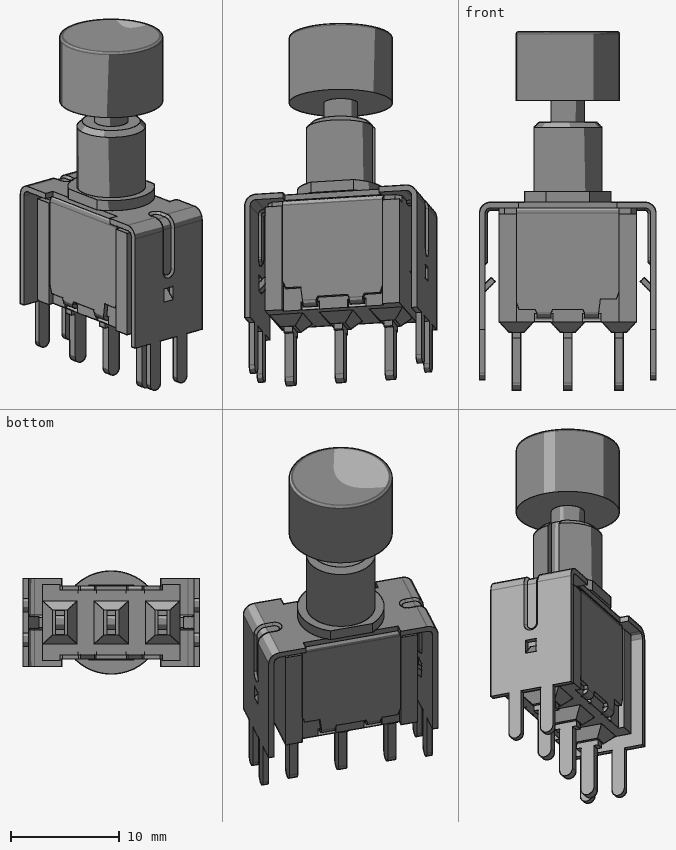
import cadquery as cq
import math


overall_height = 32.98
cap_height = 6.33
bushing_top = 24.67
flange_top = 18.3
bracket_top = 17.3
block_top = 16.2
base_bottom = 6.3
seal_bottom = 5.35
terminal_shoulder = 4.8
cap_bottom = overall_height - cap_height

cap_diameter = 9.5
cap_edge_radius = 0.2
dish_diameter = 8.9
dish_depth = 0.75

stem_diameter = 3.1
bushing_diameter = 6.33
bushing_chamfer = 0.5
keyway_width = 1.1
keyway_floor_diameter = 5.0
flange_diameter = 7.98
flange_across_flats = 6.9

bracket_length = 16.25
bracket_width = 8.1
sheet = 0.53
bend_radius = 1.05
leg_bottom = 5.6
waist_length = 9.07
waist_width = 6.35
leg_pin_spacing = 3.2
leg_pin_width = 1.25
leg_pin_tip = 0.95

bead_depth = 0.23
bead_mouth_radius = 0.7
bead_floor_radius = 0.45
bead_leg_end = 12.25
bead_top_end = 6.35

window_width = 1.1
window_bottom = 9.07
window_top = 10.6
tongue_rise_start = 9.3
tongue_reach = 1.1

base_length = 12.65
block_face = 3.5
frame_face = 3.35
frame_sheet = 0.4
frame_length = 9.45
frame_edge_radius = 0.5
plate_corner = 0.53
base_face = frame_face - frame_sheet

frame_bottom = 7.42
tab_bend_start = 7.12
tab_bottom = 6.65
tab_width = 1.3
tab_spacing = 4.4
tab_taper = 0.15
frame_corner_run = 0.25
frame_corner_rise = 0.7
raised_corner_bottom = 8.4
notch_width = 1.7
notch_top = 7.05
notch_depth = 0.35

terminal_pitch = 4.7
terminal_thickness = 0.8
terminal_width = 1.32
terminal_shoulder_width = 2.18
seal_top_length = 3.15
seal_bottom_length = 1.4
seal_bottom_width = 2.3
seal_top_width = 3.95

half_length = bracket_length / 2
leg_inner = half_length - sheet
bracket_under = bracket_top - sheet
bend_center_x = half_length - bend_radius
bend_center_z = bracket_top - bend_radius


def box(length, width, bottom, top):
    """Box centred on the Z axis between two heights."""
    block = cq.Workplane("XY").workplane(offset=bottom).rect(length, width)
    return block.extrude(top - bottom)


def disc(diameter, bottom, top):
    """Cylinder on the Z axis between two heights."""
    return cq.Workplane("XY").workplane(offset=bottom).circle(diameter / 2).extrude(top - bottom)


def both_ends(feature):
    """The feature together with its mirror image at the other end in X."""
    return feature.union(feature.mirror("YZ"))


def make_cap():
    cap = disc(cap_diameter, cap_bottom, overall_height).faces(">Z").edges().fillet(cap_edge_radius)
    ball_radius = ((dish_diameter / 2) ** 2 + dish_depth ** 2) / (2 * dish_depth)
    ball_center = overall_height - dish_depth + ball_radius
    ball = cq.Workplane("XY").sphere(ball_radius).translate((0, 0, ball_center))
    return cap.cut(ball)


def make_bushing():
    """Stem, bushing with its keyway, and the flange with two flats."""
    bushing = disc(bushing_diameter, flange_top, bushing_top).faces(">Z").edges().chamfer(bushing_chamfer)
    keyway = (
        box(bushing_diameter, keyway_width, flange_top, bushing_top)
        .translate((-bushing_diameter / 2, 0, 0))
        .cut(disc(keyway_floor_diameter, flange_top, bushing_top))
    )
    flange = disc(flange_diameter, bracket_top, flange_top).intersect(
        box(flange_diameter, flange_across_flats, bracket_top, flange_top)
    )
    stem = disc(stem_diameter, bushing_top, cap_bottom)
    return bushing.cut(keyway).union(flange).union(stem)


def round_tipped_blade(thickness, width, tip, top):
    """Upright blade, thin in X, with a full round at its lower end."""
    radius = width / 2
    return (
        cq.Workplane("YZ")
        .moveTo(-radius, top)
        .lineTo(-radius, tip + radius)
        .threePointArc((0, tip), (radius, tip + radius))
        .lineTo(radius, top)
        .close()
        .extrude(thickness / 2, both=True)
    )


def make_bead(surface):
    """Tapered bead at the -X bend, pressed inward from a surface this deep inside the sheet."""
    taper = math.degrees(math.atan((bead_mouth_radius - bead_floor_radius) / bead_depth))
    mouth_x = surface - half_length
    mouth_z = bracket_top - surface
    leg_run = bend_center_z - bead_leg_end
    top_run = bend_center_x - bead_top_end

    def slot(plane, run):
        """Tapered slot whose inner half runs from the bend line to the bead's round end."""
        length = 2 * (run + bead_mouth_radius)
        return cq.Workplane(plane).slot2D(length, 2 * bead_mouth_radius).extrude(bead_depth, taper=taper)

    leg_plane = cq.Plane((mouth_x, 0, bend_center_z), xDir=(0, 0, -1), normal=(1, 0, 0))
    top_plane = cq.Plane((-bend_center_x, 0, mouth_z), xDir=(1, 0, 0), normal=(0, 0, -1))
    below_bend = box(bracket_length, bracket_width, 0, bend_center_z).translate((-half_length, 0, 0))
    inside_bend = box(2 * bend_center_x, bracket_width, 0, bracket_top)
    leg_part = slot(leg_plane, leg_run).intersect(below_bend)
    top_part = slot(top_plane, top_run).intersect(inside_bend)

    mouth_reach = bend_radius - surface
    floor_reach = mouth_reach - bead_depth
    bend_part = (
        cq.Workplane("XY", origin=(-bend_center_x, 0, bend_center_z))
        .polyline([
            (-mouth_reach, -bead_mouth_radius),
            (-mouth_reach, bead_mouth_radius),
            (-floor_reach, bead_floor_radius),
            (-floor_reach, -bead_floor_radius),
        ])
        .close()
        .revolve(90, (0, 0, 0), (0, 1, 0))
    )
    return leg_part.union(bend_part).union(top_part)


def make_tongue():
    """Latch tongue at the -X leg, rising inward at 45 degrees from the window sill."""
    tip_x = -half_length + tongue_reach
    tip_z = tongue_rise_start + tongue_reach
    inner_drop = (tip_z - tip_x - (window_bottom + leg_inner)) / 2
    return (
        cq.Workplane("XZ")
        .polyline([
            (-half_length, window_bottom),
            (-half_length, tongue_rise_start),
            (tip_x, tip_z),
            (tip_x + inner_drop, tip_z - inner_drop),
            (-leg_inner, window_bottom),
        ])
        .close()
        .extrude(window_width / 2, both=True)
    )


def make_bracket():
    outer = box(bracket_length, bracket_width, leg_bottom, bracket_top)
    outer = outer.edges("|Y and >Z").fillet(bend_radius)
    inner = box(2 * leg_inner, bracket_width, leg_bottom, bracket_under)
    inner = inner.edges("|Y and >Z").fillet(bend_radius - sheet)
    bracket = outer.cut(inner)

    waist = box(waist_length, bracket_width, bracket_under, bracket_top).cut(
        box(waist_length, waist_width, bracket_under, bracket_top)
    )
    window = box(bracket_length, window_width, window_bottom, window_top)
    bracket = bracket.cut(waist).cut(window)

    bracket = bracket.union(both_ends(make_bead(sheet)))
    bracket = bracket.cut(both_ends(make_bead(0)))
    bracket = bracket.union(both_ends(make_tongue()))
    leg_pin = round_tipped_blade(sheet, leg_pin_width, leg_pin_tip, leg_bottom)
    for x in (-half_length + sheet / 2, half_length - sheet / 2):
        for y in (-leg_pin_spacing / 2, leg_pin_spacing / 2):
            bracket = bracket.union(leg_pin.translate((x, y, 0)))
    return bracket


def make_base():
    """Base with a raised block at each end and hollow-floored notches for the clamping tabs."""
    base = box(base_length, 2 * block_face, base_bottom, block_top)
    middle = box(frame_length, 2 * block_face, base_bottom, block_top).cut(
        box(frame_length, 2 * base_face, base_bottom, block_top)
    )
    base = base.cut(middle)
    notch = (
        cq.Workplane("YZ", origin=(-notch_width / 2, 0, 0))
        .moveTo(-base_face, notch_top)
        .lineTo(-base_face + notch_depth, notch_top)
        .lineTo(-base_face + notch_depth, base_bottom + notch_depth)
        .radiusArc((-base_face, base_bottom), notch_depth)
        .close()
        .extrude(notch_width)
    )
    notch = notch.union(notch.mirror("XZ"))
    for x in (-tab_spacing / 2, tab_spacing / 2):
        base = base.cut(notch.translate((x, 0, 0)))
    return base


def make_frame_side():
    """Front (-Y) sheet of the frame, with its cut-away lower outline."""
    half = frame_length / 2
    tab_inner = (tab_spacing - tab_width) / 2
    tab_outer = tab_inner + tab_width
    return (
        cq.Workplane("XZ", origin=(0, -base_face, 0))
        .polyline([
            (-half, block_top),
            (-half, frame_bottom + frame_corner_rise),
            (-half + frame_corner_run, frame_bottom),
            (-tab_outer - tab_taper, frame_bottom),
            (-tab_outer, tab_bend_start),
            (-tab_inner, tab_bend_start),
            (-tab_inner + tab_taper, frame_bottom),
            (tab_inner - tab_taper, frame_bottom),
            (tab_inner, tab_bend_start),
            (tab_outer, tab_bend_start),
            (tab_outer + tab_taper, raised_corner_bottom),
            (half - frame_corner_run, raised_corner_bottom),
            (half, raised_corner_bottom + frame_corner_rise),
            (half, block_top),
        ])
        .close()
        .extrude(frame_sheet)
    )


def make_frame():
    """Sheet frame: top plate, rounded shoulders, side sheets and bent tabs."""
    plate = box(base_length, 2 * (frame_face - frame_edge_radius), block_top, bracket_under)
    plate = plate.edges("|Z").chamfer(plate_corner)
    shoulder = box(frame_length, 2 * frame_face, block_top, bracket_under)
    shoulder = shoulder.edges("|X and >Z").fillet(frame_edge_radius)
    side = make_frame_side()
    bend_height = tab_bend_start - tab_bottom
    tab = (
        cq.Workplane("YZ", origin=(-tab_width / 2, 0, 0))
        .moveTo(-frame_face, tab_bend_start)
        .radiusArc((-frame_face + bend_height, tab_bottom), -bend_height)
        .lineTo(-base_face + notch_depth, tab_bottom)
        .lineTo(-base_face + notch_depth, tab_bend_start)
        .close()
        .extrude(tab_width)
    )
    for x in (-tab_spacing / 2, tab_spacing / 2):
        side = side.union(tab.translate((x, 0, 0)))
    return plate.union(shoulder).union(side).union(side.mirror("XZ"))


def make_terminal():
    """Terminal blade with a wider shoulder and a tapered sealing collar."""
    seal = (
        cq.Workplane("XY")
        .workplane(offset=seal_bottom)
        .rect(seal_bottom_length, seal_bottom_width)
        .workplane(offset=base_bottom - seal_bottom)
        .rect(seal_top_length, seal_top_width)
        .loft(combine=True)
    )
    shoulder = box(terminal_thickness, terminal_shoulder_width, terminal_shoulder, seal_bottom)
    blade = round_tipped_blade(terminal_thickness, terminal_width, 0, terminal_shoulder)
    return seal.union(shoulder).union(blade)


def make_switch():
    switch = make_base().union(make_frame()).union(make_bracket()).union(make_bushing())
    terminal = make_terminal()
    for place in (-1, 0, 1):
        switch = switch.union(terminal.translate((place * terminal_pitch, 0, 0)))
    return switch


cap = make_cap()
switch = make_switch()
result = cq.Compound.makeCompound([cap.val(), *switch.vals()])